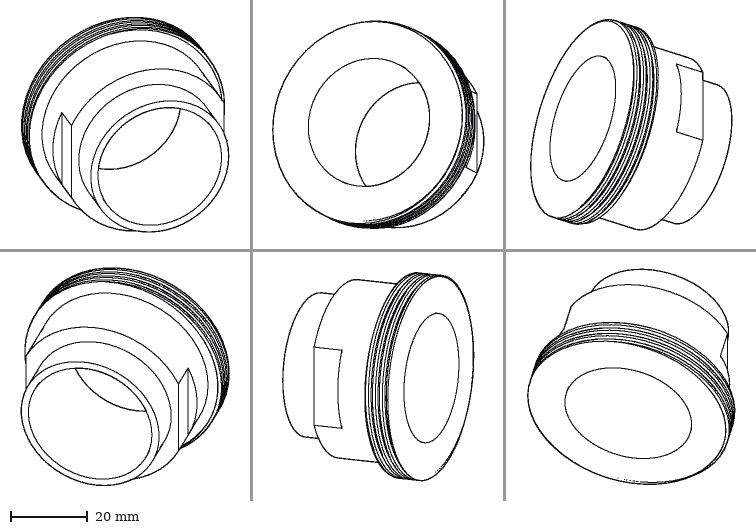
import cadquery as cq

total_length = 34.0
flange_end = 7.0
body_end = 24.05
flange_diameter = 54.0
body_diameter = 47.0
spigot_diameter = 38.0
bore_diameter = 34.0

flat_start = 16.05
across_flats = 42.0

pitch = 2.0
thread_depth = 0.8
crest_width = 0.85
root_width = 0.4
cutter_overshoot = 0.15
lead_in = 1.5
thread_turns = 5.4


def cylinder(start, end, diameter):
    """Cylinder on the X axis between two stations."""
    return cq.Workplane("YZ", origin=(start, 0, 0)).circle(diameter / 2).extrude(end - start)


def wrench_flat_cutter(side):
    """Block that removes the body beyond one flat; side is +1 or -1 along Y."""
    length = body_end - flat_start
    width = body_diameter - across_flats
    return cq.Workplane("XY").box(length, width, body_diameter).translate(
        (flat_start + length / 2, side * (across_flats + width) / 2, 0)
    )


def thread_cutter():
    """Helical trapezoidal groove, with a crest centred on X = 0 at the +Y side."""
    crest_radius = flange_diameter / 2
    root_radius = crest_radius - thread_depth
    outer_radius = crest_radius + cutter_overshoot
    flank_slope = (pitch - crest_width - root_width) / 2 / thread_depth
    half_root = root_width / 2
    half_outer = half_root + flank_slope * (outer_radius - root_radius)

    start = -lead_in * pitch
    path = cq.Wire.makeHelix(pitch, thread_turns * pitch, root_radius, center=cq.Vector(0, 0, start))
    groove = (
        cq.Workplane("XZ")
        .polyline([
            (root_radius, start - half_root),
            (outer_radius, start - half_outer),
            (outer_radius, start + half_outer),
            (root_radius, start + half_root),
        ])
        .close()
        .sweep(cq.Workplane(obj=path), isFrenet=True)
    )
    return groove.rotate((0, 0, 0), (1, 1, 1), 120)


flange = cylinder(0, flange_end, flange_diameter).cut(thread_cutter())
body = cylinder(flange_end, body_end, body_diameter)
for flat_side in (1, -1):
    body = body.cut(wrench_flat_cutter(flat_side))
spigot = cylinder(body_end, total_length, spigot_diameter)
bore = cylinder(0, total_length, bore_diameter)

result = flange.union(body).union(spigot).cut(bore)